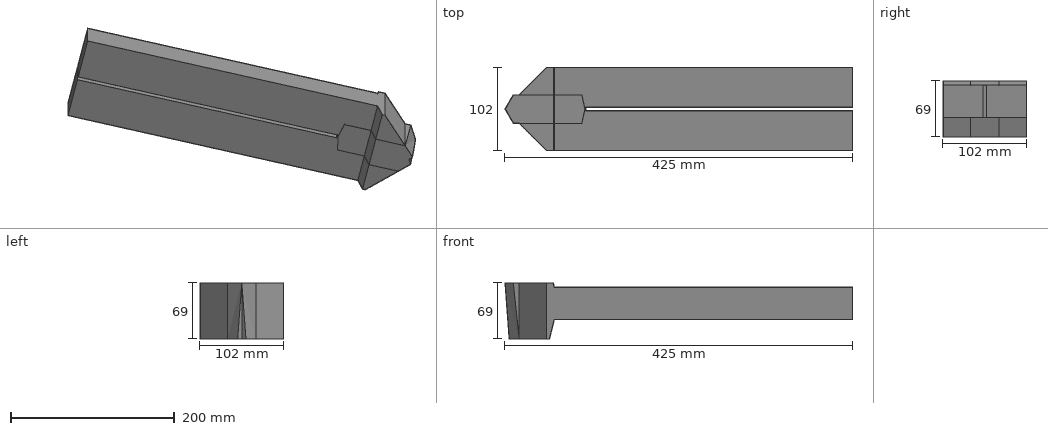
import cadquery as cq

LENGTH = 425.0
WIDTH = 102.0
HEIGHT = 69.0
HALF_WIDTH = WIDTH / 2

LEG_TOP = -5.0
LEG_THICKNESS = 40.0
LEG_BOTTOM = LEG_TOP - LEG_THICKNESS
HEAD_BACK_TOP = 59.0
HEAD_BACK_BOTTOM = 54.5
LEG_START = 60.5

SLOT_WIDTH = 4.0
SLOT_START = 99.0

INSERT_HALF_WIDTH = 17.5
INSERT_CORNER_X = 10.0
INSERT_SHOULDER_X = 94.0
INSERT_TAIL_X = 97.8
NOTCH_HALF_WIDTH = 5.0
NOTCH_ROOT_X = 8.0

INSERT_FLANK_X = INSERT_HALF_WIDTH


def stepped_profile():
    """Side profile of head and legs, across the full width."""
    points = [
        (0, 0),
        (HEAD_BACK_TOP, 0),
        (LEG_START, LEG_TOP),
        (LENGTH, LEG_TOP),
        (LENGTH, LEG_BOTTOM),
        (LEG_START, LEG_BOTTOM),
        (HEAD_BACK_BOTTOM, -HEIGHT),
        (0, -HEIGHT),
    ]
    return cq.Workplane("XZ").polyline(points).close().extrude(HALF_WIDTH, both=True)


def vertical_prism(points):
    """Prism over a plan outline, from the top plane to the bottom plane."""
    return cq.Workplane("XY").polyline(points).close().extrude(-HEIGHT)


def insert_tail():
    """Part of the insert behind the head flanks, stepped like the holder."""
    outline = [
        (INSERT_FLANK_X, -INSERT_HALF_WIDTH),
        (INSERT_SHOULDER_X, -INSERT_HALF_WIDTH),
        (INSERT_TAIL_X, 0),
        (INSERT_SHOULDER_X, INSERT_HALF_WIDTH),
        (INSERT_FLANK_X, INSERT_HALF_WIDTH),
    ]
    return vertical_prism(outline).intersect(stepped_profile())


def insert_nose():
    """Faceted cutting nose: blunt at the top, notched at the bottom."""
    nose = (0, 0, 0)
    notch_root = (NOTCH_ROOT_X, 0, -HEIGHT)

    def side_points(side):
        flank_y = side * INSERT_HALF_WIDTH
        corner = (INSERT_CORNER_X, flank_y, 0)
        back_top = (INSERT_FLANK_X, flank_y, 0)
        back_bottom = (INSERT_FLANK_X, flank_y, -HEIGHT)
        tip = (NOTCH_HALF_WIDTH, side * NOTCH_HALF_WIDTH, -HEIGHT)
        return corner, back_top, back_bottom, tip

    left = side_points(1)
    right = side_points(-1)
    outlines = [
        [nose, right[0], right[1], left[1], left[0]],
        [notch_root, right[3], right[2], left[2], left[3]],
        [right[1], right[2], left[2], left[1]],
    ]
    for corner, back_top, back_bottom, tip in (left, right):
        outlines.append([nose, corner, back_bottom])
        outlines.append([nose, back_bottom, tip])
        outlines.append([nose, tip, notch_root])
        outlines.append([corner, back_top, back_bottom])

    faces = []
    for outline in outlines:
        wire = cq.Wire.makePolygon([cq.Vector(*point) for point in outline], close=True)
        faces.append(cq.Face.makeFromWires(wire))
    return cq.Workplane("XY").newObject([cq.Solid.makeSolid(cq.Shell.makeShell(faces))])


def make_insert():
    return insert_tail().union(insert_nose())


def make_holder():
    """Forked holder with 45 degree flanks and a through pocket for the insert."""
    outline = [
        (INSERT_FLANK_X, -INSERT_HALF_WIDTH),
        (HALF_WIDTH, -HALF_WIDTH),
        (LENGTH, -HALF_WIDTH),
        (LENGTH, HALF_WIDTH),
        (HALF_WIDTH, HALF_WIDTH),
        (INSERT_FLANK_X, INSERT_HALF_WIDTH),
    ]
    body = stepped_profile().intersect(vertical_prism(outline))
    slot = cq.Workplane("XY").box(
        LENGTH - SLOT_START, SLOT_WIDTH, HEIGHT, centered=(False, True, False)
    ).translate((SLOT_START, 0, -HEIGHT))
    return body.cut(slot).cut(insert_tail())


holder = make_holder()
insert = make_insert()

result = cq.Compound.makeCompound([holder.solids().val(), insert.solids().val()])